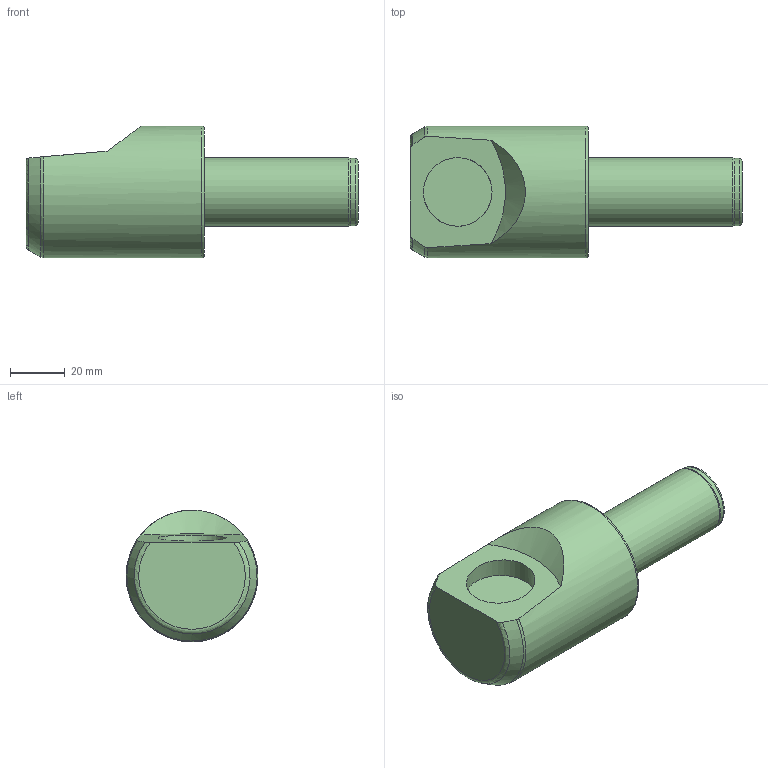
import cadquery as cq
import math

BODY_DIAMETER = 48.0
BODY_LENGTH = 65.0
BODY_REAR_FILLET = 1.0

NOSE_LENGTH = 5.9
NOSE_ANGLE = 30.0
NOSE_FILLET = 2.0

SHANK_DIAMETER = 25.0
TOTAL_LENGTH = 121.0
PILOT_DIAMETER = 24.5
PILOT_LENGTH = 2.6
PILOT_TAPER_LENGTH = 0.7
PILOT_FILLET = 1.0

SEAT_ANGLE = 5.0
SEAT_NOSE_HEIGHT = 12.3
SEAT_WALL_CENTER = -1.5
SEAT_WALL_RADIUS = 36.4
SEAT_WALL_ANGLE = 45.0
SEAT_CUT_HEIGHT = 20.0

POCKET_DIAMETER = 25.0
POCKET_X = 17.4
POCKET_FLOOR_HEIGHT = 7.7


def make_body():
    """Turned body with the tapered nose in front and a rounded rear edge."""
    radius = BODY_DIAMETER / 2
    nose_radius = radius - NOSE_LENGTH * math.tan(math.radians(NOSE_ANGLE))
    profile = (
        cq.Workplane("XY")
        .polyline([
            (0, 0),
            (0, nose_radius),
            (NOSE_LENGTH, radius),
            (BODY_LENGTH, radius),
            (BODY_LENGTH, 0),
        ])
        .close()
    )
    body = profile.revolve(360, (0, 0, 0), (1, 0, 0))
    body = body.faces("%CONE").edges("%CIRCLE").fillet(NOSE_FILLET)
    return body.faces(">X").edges().fillet(BODY_REAR_FILLET)


def make_shank():
    """Shank with a short taper down to the rounded pilot."""
    shank_radius = SHANK_DIAMETER / 2
    pilot_radius = PILOT_DIAMETER / 2
    pilot_start = TOTAL_LENGTH - PILOT_LENGTH
    profile = (
        cq.Workplane("XY")
        .moveTo(BODY_LENGTH, 0)
        .lineTo(BODY_LENGTH, shank_radius)
        .lineTo(pilot_start - PILOT_TAPER_LENGTH, shank_radius)
        .lineTo(pilot_start, pilot_radius)
        .lineTo(TOTAL_LENGTH, pilot_radius)
        .lineTo(TOTAL_LENGTH, 0)
        .close()
    )
    shank = profile.revolve(360, (BODY_LENGTH, 0, 0), (TOTAL_LENGTH, 0, 0))
    return shank.faces(">X").edges().fillet(PILOT_FILLET)


def seat_plane(distance):
    """Plane on the sloping seat, centred at a distance along it from the nose face."""
    slope = math.radians(SEAT_ANGLE)
    along = (math.cos(slope), 0, math.sin(slope))
    normal = (-math.sin(slope), 0, math.cos(slope))
    origin = (distance * along[0], 0, SEAT_NOSE_HEIGHT + distance * along[2])
    return cq.Plane(origin=origin, xDir=along, normal=normal)


def make_seat_cutter():
    """Cone frustum standing on the seat and widening upward."""
    return (
        cq.Workplane(seat_plane(SEAT_WALL_CENTER))
        .circle(SEAT_WALL_RADIUS)
        .extrude(SEAT_CUT_HEIGHT, taper=-SEAT_WALL_ANGLE)
    )


def make_pocket_cutter():
    """Vertical cylinder from the level pocket floor up past the top of the body."""
    return (
        cq.Workplane("XY")
        .workplane(offset=POCKET_FLOOR_HEIGHT)
        .center(POCKET_X, 0)
        .circle(POCKET_DIAMETER / 2)
        .extrude(BODY_DIAMETER / 2 - POCKET_FLOOR_HEIGHT)
    )


result = make_body().union(make_shank()).cut(make_seat_cutter()).cut(make_pocket_cutter())